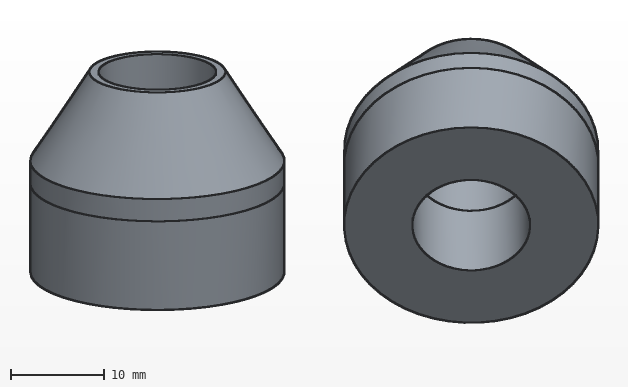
import cadquery as cq

outer_diameter = 27.3
bore_diameter = 12.65
tip_diameter = 14.6

base_height = 10.0
rim_height = 2.5
cone_height = 10.0

outer_radius = outer_diameter / 2
bore_radius = bore_diameter / 2
tip_radius = tip_diameter / 2


def make_base():
    """Straight sleeve standing on the XY plane, with the bore through it."""
    return cq.Workplane("XY").circle(outer_radius).circle(bore_radius).extrude(base_height)


def make_cap():
    """Revolved cap: a straight rim that tapers to a narrow tip around the bore."""
    cone_bottom = base_height + rim_height
    cap_top = cone_bottom + cone_height
    return (
        cq.Workplane("XZ")
        .moveTo(bore_radius, base_height)
        .lineTo(outer_radius, base_height)
        .lineTo(outer_radius, cone_bottom)
        .lineTo(tip_radius, cap_top)
        .lineTo(bore_radius, cap_top)
        .close()
        .revolve(360, (0, 0, 0), (0, 1, 0))
    )


base = make_base()
cap = make_cap()

result = cq.Compound.makeCompound([base.val(), cap.val()])